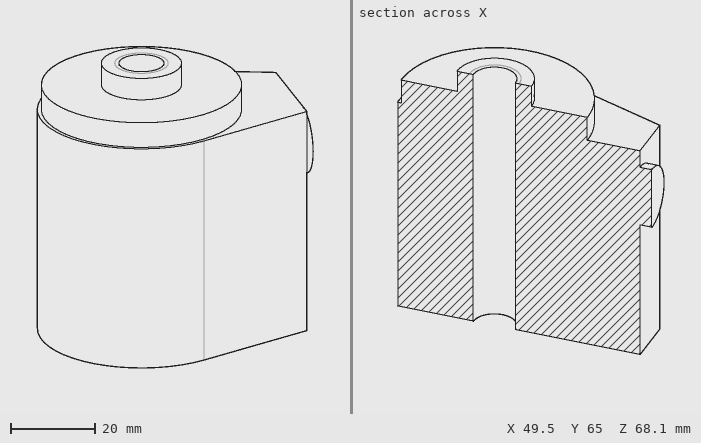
import cadquery as cq
import math

body_radius = 24.75
body_height = 56.3

pad_width = 25.5
pad_y = 37.2

port_diameter = 16.0
port_length = 3.0
port_z = 43.75

cover_diameter = 47.6
cover_height = 6.32
neck_diameter = 19.05
neck_height = 5.5

bore_diameter = 10.7
sleeve_diameter = 12.7

cover_top_z = body_height + cover_height
total_height = cover_top_z + neck_height


def tangent_point():
    """Point on the right of the body where the block's side meets it tangentially."""
    corner_x = pad_width / 2
    corner_distance = math.hypot(corner_x, pad_y)
    corner_angle = math.atan2(pad_y, corner_x)
    angle = corner_angle - math.acos(body_radius / corner_distance)
    return body_radius * math.cos(angle), body_radius * math.sin(angle)


def make_body():
    tangent_x, tangent_y = tangent_point()
    return (
        cq.Workplane("XY")
        .moveTo(tangent_x, tangent_y)
        .lineTo(pad_width / 2, pad_y)
        .lineTo(-pad_width / 2, pad_y)
        .lineTo(-tangent_x, tangent_y)
        .threePointArc((0, -body_radius), (tangent_x, tangent_y))
        .close()
        .extrude(body_height)
    )


def make_disk(diameter, bottom_z, height):
    return cq.Workplane("XY").workplane(offset=bottom_z).circle(diameter / 2).extrude(height)


def make_port():
    return (
        cq.Workplane("XZ", origin=(0, pad_y, port_z))
        .circle(port_diameter / 2)
        .extrude(-port_length)
    )


cover = make_disk(cover_diameter, body_height, cover_height)
neck = make_disk(neck_diameter, cover_top_z, neck_height)
housing = make_body().union(cover).union(neck).union(make_port())

sleeve_hole = make_disk(sleeve_diameter, 0, total_height)
bore = make_disk(bore_diameter, 0, total_height)
sleeve = sleeve_hole.cut(bore)

result = housing.cut(sleeve_hole).union(sleeve, clean=False)